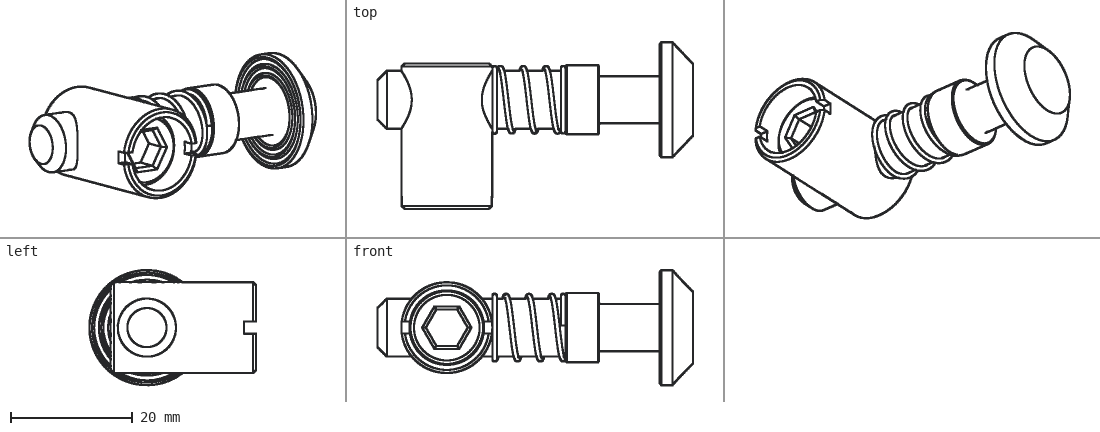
import cadquery as cq
import math


shaft_radius = 4.8
bolt_tip_x = -11.45
tip_chamfer = 1.55
collar_radius = 5.7
collar_start_x = 19.55
collar_length = 5.5
collar_chamfer = 0.2
shank_radius = 3.9
root_fillet = 0.15
head_diameter = 19.0
head_start_x = 35.0
head_rim_end_x = 37.15
head_end_x = 40.55
head_end_radius = 5.9
tooth_height = 0.3
tooth_flank = 0.35
tooth_crest_radius = 9.05
tooth_spacing = 1.5
tooth_count = 3

barrel_radius = 7.5
barrel_back_y = 6.0
barrel_length = 23.95
barrel_chamfer = 0.5
slot_size = 2.0
bore_radius = 6.15
bore_overrun = 0.5

screw_radius = 6.0
screw_chamfer = 0.55
screw_recess = 4.1
socket_flats = 6.0
socket_mouth_flats = 7.0
socket_mouth_depth = 0.85
socket_depth = 4.15

wire_radius = 0.39
coil_radius = 5.2
active_turns = 3
end_turn_angle = 266.0

collar_end_x = collar_start_x + collar_length
barrel_front_y = barrel_back_y - barrel_length
head_floor_x = head_start_x + tooth_height
head_radius = head_diameter / 2
screw_front_y = barrel_front_y + screw_recess
screw_back_y = -shaft_radius
spring_start_x = barrel_radius + wire_radius
spring_end_x = collar_start_x - wire_radius
spring_pitch = (spring_end_x - spring_start_x) / active_turns


def make_bolt():
    """Turned bolt: chamfered tip, shaft, collar, thin shank and a toothed, tapered head."""
    outline = [
        (bolt_tip_x, 0),
        (bolt_tip_x, shaft_radius - tip_chamfer),
        (bolt_tip_x + tip_chamfer, shaft_radius),
        (collar_start_x, shaft_radius),
        (collar_start_x, collar_radius - collar_chamfer),
        (collar_start_x + collar_chamfer, collar_radius),
        (collar_end_x - collar_chamfer, collar_radius),
        (collar_end_x, collar_radius - collar_chamfer),
        (collar_end_x, shank_radius),
        (head_floor_x, shank_radius),
    ]
    for ring in reversed(range(tooth_count)):
        crest = tooth_crest_radius - ring * tooth_spacing
        outline.append((head_floor_x, crest - tooth_flank))
        outline.append((head_start_x, crest))
        if ring > 0:
            outline.append((head_floor_x, crest + tooth_flank))
    outline += [
        (head_floor_x, head_radius),
        (head_rim_end_x, head_radius),
        (head_end_x, head_end_radius),
        (head_end_x, 0),
    ]
    profile = cq.Workplane("XY").polyline(outline).close()
    bolt = profile.revolve(360, (0, 0, 0), (1, 0, 0))
    return bolt.edges("%CIRCLE").filter(is_root_edge).fillet(root_fillet)


def is_root_edge(edge):
    """Whether a circular bolt edge is an inside corner of the shaft or the shank."""
    roots = [
        (collar_start_x, shaft_radius),
        (collar_end_x, shank_radius),
        (head_floor_x, shank_radius),
    ]
    center_x = edge.arcCenter().x
    return any(math.isclose(center_x, x) and math.isclose(edge.radius(), radius) for x, radius in roots)


def cylinder_along_y(radius, start_y, end_y):
    """Cylinder about the Y axis between two Y positions."""
    base = cq.Workplane("XZ", origin=(0, start_y, 0)).circle(radius)
    return base.extrude(start_y - end_y)


def make_barrel():
    """Cross barrel with a hole for the bolt, a bore for the set screw and a screwdriver slot."""
    barrel = cylinder_along_y(barrel_radius, barrel_front_y, barrel_back_y)
    barrel = barrel.faces("<Y or >Y").chamfer(barrel_chamfer)
    bore = cylinder_along_y(bore_radius, barrel_front_y, screw_back_y + bore_overrun)
    bolt_hole = cq.Workplane("YZ").circle(shaft_radius).extrude(barrel_radius, both=True)
    slot = cq.Workplane("XY").box(2 * barrel_radius, 2 * slot_size, slot_size)
    slot = slot.translate((0, barrel_front_y, 0))
    return barrel.cut(bore).cut(bolt_hole).cut(slot)


def hexagon(flats, y):
    """Hexagon across the Y axis with flats facing up and down, ready to extrude toward +Y."""
    corner_diameter = flats / math.cos(math.pi / 6)
    return cq.Workplane("XZ", origin=(0, y, 0)).polygon(6, corner_diameter)


def make_set_screw():
    """Headless screw that bears on the bolt shaft, with a hexagon socket widened at its mouth."""
    screw = cylinder_along_y(screw_radius, screw_front_y, screw_back_y)
    screw = screw.faces("<Y").chamfer(screw_chamfer)
    socket = hexagon(socket_flats, screw_front_y).extrude(-socket_depth)
    mouth_floor = hexagon(socket_flats, screw_front_y + socket_mouth_depth).wires().val()
    mouth_rim = hexagon(socket_mouth_flats, screw_front_y).wires().val()
    mouth = cq.Solid.makeLoft([mouth_rim, mouth_floor], True)
    return screw.cut(socket).cut(cq.Workplane(mouth))


def make_end_turn(x, direction):
    """Flat turn of wire from the lowest point of the coil, wound about +X (1) or -X (-1)."""
    section = cq.Workplane("XZ").center(x, -coil_radius).circle(wire_radius)
    return section.revolve(end_turn_angle, (0, coil_radius, 0), (direction, coil_radius, 0))


def make_spring():
    """Compression spring around the shaft, with a flat turn at each end."""
    length = spring_end_x - spring_start_x
    helix = cq.Wire.makeHelix(spring_pitch, length, coil_radius)
    coil = cq.Workplane("XZ").center(coil_radius, 0).circle(wire_radius)
    coil = coil.sweep(cq.Workplane(helix), isFrenet=True)
    coil = coil.rotate((0, 0, 0), (0, 1, 0), 90).translate((spring_start_x, 0, 0))
    first_turn = make_end_turn(spring_start_x, -1)
    last_turn = make_end_turn(spring_end_x, 1)
    return coil.union(first_turn).union(last_turn)


bolt = make_bolt()
barrel = make_barrel()
set_screw = make_set_screw()
spring = make_spring()

bodies = [bolt, barrel, set_screw, spring]
result = cq.Compound.makeCompound([body.solids().val() for body in bodies])